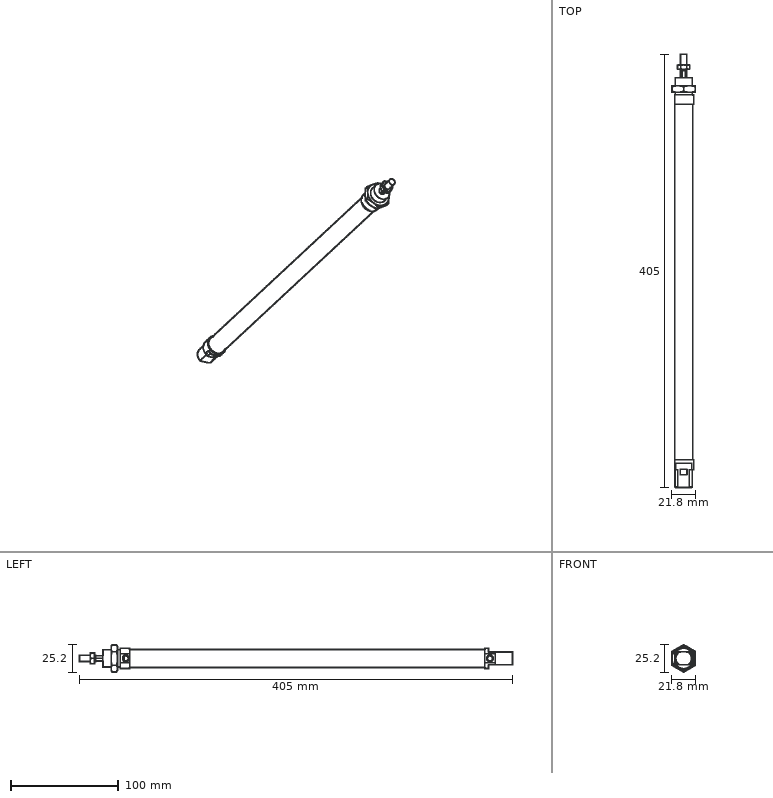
import cadquery as cq
import math

HEX_FLATS_TO_CORNERS = math.cos(math.pi / 6)

TOTAL_LENGTH = 405.0
ROD_TIP_Y = TOTAL_LENGTH / 2
REAR_END_Y = -TOTAL_LENGTH / 2

ROD_DIAMETER = 6.0
ROD_ROUND_LENGTH = 15.5
ROD_EXPOSED_LENGTH = 22.0
ROD_SOCKET_DEPTH = 20.2

NUT_CHAMFER_ANGLE = 30.0

ROD_NUT_ACROSS_FLATS = 10.0
ROD_NUT_THICKNESS = 4.0
ROD_NUT_SETBACK = 10.0

MOUNT_NUT_WALL = 2.9
MOUNT_NUT_THICKNESS = 6.0
MOUNT_NUT_SETBACK = 29.5
MOUNT_NUT_ANGLE = 30.0

NECK_DIAMETER = 16.0
TUBE_DIAMETER = 17.0
COLLAR_DIAMETER = 19.0
FRONT_COLLAR_SETBACK = 38.0
FRONT_COLLAR_LENGTH = 9.0
REAR_COLLAR_LENGTH = 9.7
REAR_COLLAR_ROUND_LENGTH = 3.5
TANG_LENGTH = 16.5
TANG_DIAMETER = 16.0
TANG_THICKNESS = 12.0
TANG_END_DIAMETER = 14.5
SLOT_WIDTH = 6.0
SLOT_LENGTH = 5.0
SLOT_END_DISTANCE = 14.5
PORT_MOUTH_DIAMETER = 6.0
PORT_MOUTH_DEPTH = 1.0
PORT_DIAMETER = 5.0
PORT_DEPTH = 5.0
PORT_FLAT_X = -8.5
FRONT_PORT_OFFSET = 5.3
REAR_PORT_OFFSET = 5.0

MOUNT_NUT_ACROSS_FLATS = NECK_DIAMETER + 2 * MOUNT_NUT_WALL
SLOT_CENTER_Y = REAR_END_Y + SLOT_END_DISTANCE
NECK_FRONT_Y = ROD_TIP_Y - ROD_EXPOSED_LENGTH
ROD_NUT_FRONT_Y = ROD_TIP_Y - ROD_NUT_SETBACK
MOUNT_NUT_FRONT_Y = ROD_TIP_Y - MOUNT_NUT_SETBACK
FRONT_COLLAR_Y = ROD_TIP_Y - FRONT_COLLAR_SETBACK
FRONT_COLLAR_REAR_Y = FRONT_COLLAR_Y - FRONT_COLLAR_LENGTH
REAR_COLLAR_REAR_Y = REAR_END_Y + TANG_LENGTH
REAR_COLLAR_FRONT_Y = REAR_COLLAR_REAR_Y + REAR_COLLAR_LENGTH
TANG_SHOULDER_Y = REAR_COLLAR_FRONT_Y - REAR_COLLAR_ROUND_LENGTH
FRONT_PORT_Y = FRONT_COLLAR_Y - FRONT_PORT_OFFSET
REAR_PORT_Y = REAR_COLLAR_FRONT_Y - REAR_PORT_OFFSET


def section_plane(front_y):
    """XZ plane at front_y; positive extrusion runs toward -Y."""
    return cq.Workplane("XZ", origin=(0, front_y, 0))


def cylinder(diameter, front_y, rear_y):
    return section_plane(front_y).circle(diameter / 2).extrude(front_y - rear_y)


def make_hex_nut(across_flats, thickness, front_y, bore):
    """Hexagonal nut with two corners at +X and -X, all corners turned down to a cone on both faces."""
    across_corners = across_flats / HEX_FLATS_TO_CORNERS
    hexagon = section_plane(front_y).polygon(6, across_corners).circle(bore / 2).extrude(thickness)
    chamfer_drop = (across_corners - across_flats) / 2
    chamfer_run = chamfer_drop * math.tan(math.radians(NUT_CHAMFER_ANGLE))
    turned_blank = cylinder(across_corners, front_y, front_y - thickness)
    return hexagon.intersect(turned_blank.edges().chamfer(chamfer_run, chamfer_drop))


def make_rod():
    """Round rod with a hexagonal wrench section, its corners on the rod surface, next to the neck."""
    hex_front_y = ROD_TIP_Y - ROD_ROUND_LENGTH
    threaded_end = cylinder(ROD_DIAMETER, ROD_TIP_Y, hex_front_y)
    wrench_section = section_plane(hex_front_y).polygon(6, ROD_DIAMETER).extrude(hex_front_y - NECK_FRONT_Y)
    hidden_end = cylinder(ROD_DIAMETER, NECK_FRONT_Y, NECK_FRONT_Y - ROD_SOCKET_DEPTH)
    return threaded_end.union(wrench_section).union(hidden_end)


def cut_tang_flats(body):
    """Flatten the rear end above and below, from the shoulder to the rear face."""
    length = TANG_SHOULDER_Y - REAR_END_Y
    keep = cq.Workplane().box(2 * COLLAR_DIAMETER, length, TANG_THICKNESS)
    waste = cq.Workplane().box(2 * COLLAR_DIAMETER, length, 2 * COLLAR_DIAMETER).cut(keep)
    return body.cut(waste.translate((0, REAR_END_Y + length / 2, 0)))


def cut_port(body, port_y, front_y, rear_y):
    """Flat on the -X side of a collar, with a blind counterbored port."""
    waste = cq.Workplane().box(
        COLLAR_DIAMETER, front_y - rear_y, 2 * COLLAR_DIAMETER
    ).translate((PORT_FLAT_X - COLLAR_DIAMETER / 2, (front_y + rear_y) / 2, 0))
    port_plane = cq.Workplane("YZ", origin=(PORT_FLAT_X, port_y, 0))
    mouth = port_plane.circle(PORT_MOUTH_DIAMETER / 2).extrude(PORT_MOUTH_DEPTH)
    bore = port_plane.circle(PORT_DIAMETER / 2).extrude(PORT_DEPTH)
    return body.cut(waste).cut(mouth).cut(bore)


def make_cylinder_body():
    end_chamfer = (TANG_DIAMETER - TANG_END_DIAMETER) / 2
    tang = cylinder(TANG_DIAMETER, REAR_COLLAR_REAR_Y, REAR_END_Y).faces("<Y").chamfer(end_chamfer)
    body = (
        cylinder(NECK_DIAMETER, NECK_FRONT_Y, FRONT_COLLAR_Y)
        .union(cylinder(COLLAR_DIAMETER, FRONT_COLLAR_Y, FRONT_COLLAR_REAR_Y))
        .union(cylinder(TUBE_DIAMETER, FRONT_COLLAR_REAR_Y, REAR_COLLAR_FRONT_Y))
        .union(cylinder(COLLAR_DIAMETER, REAR_COLLAR_FRONT_Y, REAR_COLLAR_REAR_Y))
        .union(tang)
    )
    body = cut_tang_flats(body)
    body = cut_port(body, FRONT_PORT_Y, FRONT_COLLAR_Y, FRONT_COLLAR_REAR_Y)
    body = cut_port(body, REAR_PORT_Y, REAR_COLLAR_FRONT_Y, REAR_COLLAR_REAR_Y)
    slot = cq.Workplane().box(SLOT_WIDTH, SLOT_LENGTH, 2 * TANG_THICKNESS).translate((0, SLOT_CENTER_Y, 0))
    rod_socket = cylinder(ROD_DIAMETER, NECK_FRONT_Y, NECK_FRONT_Y - ROD_SOCKET_DEPTH)
    return body.cut(slot).cut(rod_socket)


rod = make_rod()
rod_nut = make_hex_nut(ROD_NUT_ACROSS_FLATS, ROD_NUT_THICKNESS, ROD_NUT_FRONT_Y, ROD_DIAMETER)
mount_nut = make_hex_nut(
    MOUNT_NUT_ACROSS_FLATS, MOUNT_NUT_THICKNESS, MOUNT_NUT_FRONT_Y, NECK_DIAMETER
).rotate((0, 0, 0), (0, 1, 0), MOUNT_NUT_ANGLE)
cylinder_body = make_cylinder_body()

result = cq.Compound.makeCompound(
    [cylinder_body.val(), rod.val(), rod_nut.val(), mount_nut.val()]
)